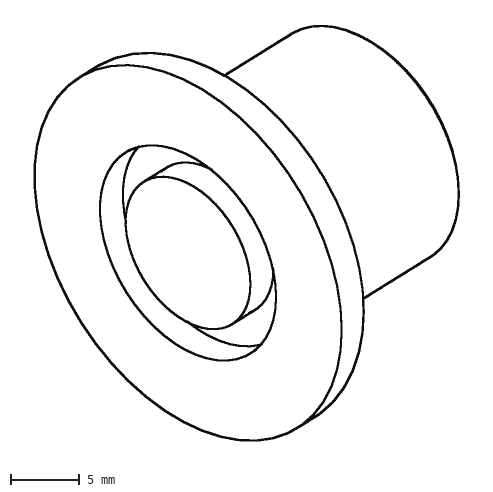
import cadquery as cq
import math

flange_radius = 15.0
length = 19.1
barrel_radius = 9.555
barrel_chamfer = 0.3
rim_height = 1.83
rim_round = 1.5
cone_angle = math.radians(15)
groove_outer_radius = 8.595
groove_inner_radius = 6.1
groove_depth = 2.5

round_center = flange_radius - rim_round
round_end = (
    round_center + rim_round * math.sin(cone_angle),
    rim_height + rim_round * math.cos(cone_angle),
)
middle_angle = (math.pi / 2 - cone_angle) / 2
round_middle = (
    round_center + rim_round * math.cos(middle_angle),
    rim_height + rim_round * math.sin(middle_angle),
)
cone_top = round_end[1] + (round_end[0] - barrel_radius) * math.tan(cone_angle)

body = (
    cq.Workplane("XY")
    .lineTo(flange_radius, 0)
    .lineTo(flange_radius, rim_height)
    .threePointArc(round_middle, round_end)
    .lineTo(barrel_radius, cone_top)
    .lineTo(barrel_radius, length - barrel_chamfer)
    .lineTo(barrel_radius - barrel_chamfer, length)
    .lineTo(0, length)
    .close()
    .revolve(360, (0, 0, 0), (0, 1, 0))
)

groove = (
    cq.Workplane("XZ")
    .circle(groove_outer_radius)
    .circle(groove_inner_radius)
    .extrude(-groove_depth)
)

result = body.cut(groove)